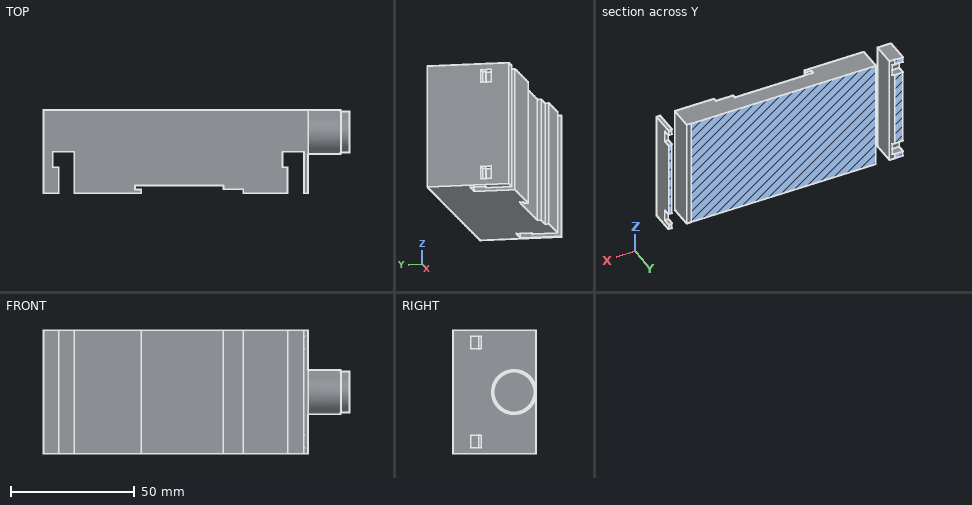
import cadquery as cq

HOUSING_LENGTH = 107.2
HOUSING_DEPTH = 33.8
HOUSING_HEIGHT = 50.1

SLOT_DEPTH = 16.8
HOOK_DEPTH = 10.55
LEFT_WALL = 6.2
LEFT_WALL_THIN = 3.8
LEFT_SLOT_END = 12.4
RIGHT_SLOT_START = 98.9
RIGHT_HOOK_START = 96.9
RIGHT_WALL = 1.7

RECESS_START = 37.1
RECESS_LIP_END = 39.7
RECESS_STEP = 72.9
RECESS_END = 80.9
RECESS_DEPTH = 3.1
RECESS_STEP_DEPTH = 1.6

WINDOW_OFFSET = 7.3
WINDOW_WIDTH = 4.3
WINDOW_HEIGHT = 5.1
WINDOW_MARGIN = 2.5
LEFT_WINDOW_DEPTH = 5.0

BARREL_DIAMETER = 18.0
TIP_DIAMETER = 16.77
NECK_DIAMETER = 16.4
NECK_LENGTH = 0.3
BARREL_LENGTH = 13.2
OVERALL_LENGTH = 124.0


def prism(points):
    """Extrude an XY outline over the full height of the housing."""
    outline = cq.Workplane("XY").polyline(points).close()
    return outline.extrude(HOUSING_HEIGHT / 2, both=True)


def hooked_slot(mouth_start, floor_start, end):
    return prism([
        (mouth_start, 0),
        (mouth_start, HOOK_DEPTH),
        (floor_start, HOOK_DEPTH),
        (floor_start, SLOT_DEPTH),
        (end, SLOT_DEPTH),
        (end, 0),
    ])


def rail_recess():
    return prism([
        (RECESS_LIP_END, 0),
        (RECESS_LIP_END, RECESS_STEP_DEPTH),
        (RECESS_START, RECESS_STEP_DEPTH),
        (RECESS_START, RECESS_DEPTH),
        (RECESS_STEP, RECESS_DEPTH),
        (RECESS_STEP, RECESS_STEP_DEPTH),
        (RECESS_END, RECESS_STEP_DEPTH),
        (RECESS_END, 0),
    ])


def window(start_x, length, side):
    """Box for one latch window; side is +1 for the upper one, -1 for the lower one."""
    centre_z = side * (HOUSING_HEIGHT / 2 - WINDOW_MARGIN - WINDOW_HEIGHT / 2)
    box = cq.Workplane("XY").box(length, WINDOW_WIDTH, WINDOW_HEIGHT, centered=(False, False, True))
    return box.translate((start_x, WINDOW_OFFSET, centre_z))


def housing():
    right_wall_start = HOUSING_LENGTH - RIGHT_WALL
    body = cq.Workplane("XY").box(
        HOUSING_LENGTH, HOUSING_DEPTH, HOUSING_HEIGHT, centered=(False, False, True)
    )
    body = body.cut(hooked_slot(LEFT_WALL, LEFT_WALL_THIN, LEFT_SLOT_END))
    body = body.cut(hooked_slot(RIGHT_SLOT_START, RIGHT_HOOK_START, right_wall_start))
    body = body.cut(rail_recess())
    for side in (1, -1):
        body = body.cut(window(0, LEFT_WINDOW_DEPTH, side))
        body = body.cut(window(right_wall_start, RIGHT_WALL, side))
    return body


def connector():
    axis_y = HOUSING_DEPTH - BARREL_DIAMETER / 2
    tip_length = OVERALL_LENGTH - HOUSING_LENGTH - BARREL_LENGTH - NECK_LENGTH
    end_face = cq.Workplane("YZ", origin=(HOUSING_LENGTH, axis_y, 0))
    barrel = end_face.circle(BARREL_DIAMETER / 2).extrude(BARREL_LENGTH)
    neck = barrel.faces(">X").workplane().circle(NECK_DIAMETER / 2).extrude(NECK_LENGTH)
    return neck.faces(">X").workplane().circle(TIP_DIAMETER / 2).extrude(tip_length)


result = housing().union(connector())